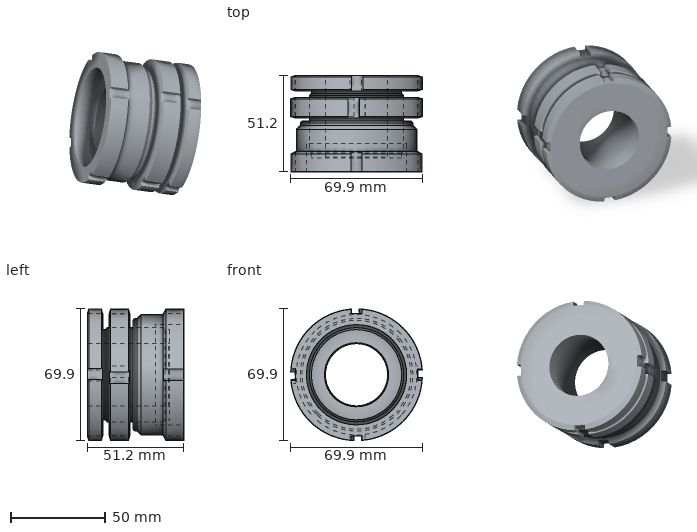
import cadquery as cq


rim_radius = 35.0
thread_radius = 25.0
slot_width = 6.0
slot_floor_radius = 32.5
slots_per_ring = 4
rim_chamfer_radius = 32.2
rim_chamfer_length = 0.8

housing_length = 27.0
flange_length = 9.5
flange_shoulder_y = 11.0
body_radius = 32.0
body_end_y = 22.6
collar_radius = 29.9
collar_chamfer = 1.0
collar_start_y = body_end_y + (body_radius - collar_radius)
recess_radius = 26.6
recess_depth = 15.0

nut_start_y = 28.63
nut_thickness = 11.0
nut_turn = 2.7

sleeve_start_y = 7.5
sleeve_end_y = 51.21
sleeve_flange_thickness = 8.25
sleeve_flange_y = sleeve_end_y - sleeve_flange_thickness
sleeve_flange_turn = -0.65
neck_radius = 23.93
neck_start_y = 41.7
cone_length = thread_radius - neck_radius
neck_cone_y = neck_start_y - cone_length
lead_length = 2.5
lead_cone_y = sleeve_start_y + lead_length
bore_radius = 16.5
bore_chamfer = 0.5


def turned(outline):
    """Revolve an outline of (radius, y) points around the Y axis."""
    return cq.Workplane("XY").polyline(outline).close().revolve(360, (0, 0, 0), (0, 1, 0))


def cut_rim_slots(body, start_y, length, turn):
    """Cut the spanner slots into a rim; turn is counter-clockwise seen from the front."""
    slot = cq.Workplane("XY").box(
        slot_width, length, rim_radius, centered=(True, False, False)
    ).translate((0, start_y, slot_floor_radius))
    for index in range(slots_per_ring):
        angle = -turn + index * 360 / slots_per_ring
        body = body.cut(slot.rotate((0, 0, 0), (0, 1, 0), angle))
    return body


def chamfered_rim(start_y, end_y):
    """Outline points of a rim with a shallow chamfer on both edges."""
    return [
        (rim_chamfer_radius, start_y),
        (rim_radius, start_y + rim_chamfer_length),
        (rim_radius, end_y - rim_chamfer_length),
        (rim_chamfer_radius, end_y),
    ]


def make_housing():
    housing = turned([
        (recess_radius, 0),
        (rim_radius, 0),
        (rim_radius, flange_length),
        (body_radius, flange_shoulder_y),
        (body_radius, body_end_y),
        (collar_radius, collar_start_y),
        (collar_radius, housing_length - collar_chamfer),
        (collar_radius - collar_chamfer, housing_length),
        (thread_radius, housing_length),
        (thread_radius, recess_depth),
        (recess_radius, recess_depth),
    ])
    return cut_rim_slots(housing, 0, flange_shoulder_y, 0)


def make_lock_nut():
    nut_end_y = nut_start_y + nut_thickness
    nut = turned([
        (thread_radius, nut_start_y),
        *chamfered_rim(nut_start_y, nut_end_y),
        (thread_radius, nut_end_y),
    ])
    return cut_rim_slots(nut, nut_start_y, nut_thickness, nut_turn)


def make_sleeve():
    sleeve = turned([
        (bore_radius + bore_chamfer, sleeve_start_y),
        (neck_radius, sleeve_start_y),
        (neck_radius, lead_cone_y),
        (thread_radius, lead_cone_y + cone_length),
        (thread_radius, neck_cone_y),
        (neck_radius, neck_start_y),
        (neck_radius, sleeve_flange_y),
        *chamfered_rim(sleeve_flange_y, sleeve_end_y),
        (bore_radius, sleeve_end_y),
        (bore_radius, sleeve_start_y + bore_chamfer),
    ])
    return cut_rim_slots(sleeve, sleeve_flange_y, sleeve_flange_thickness, sleeve_flange_turn)


housing = make_housing()
lock_nut = make_lock_nut()
sleeve = make_sleeve()

result = cq.Compound.makeCompound([housing.val(), lock_nut.val(), sleeve.val()])